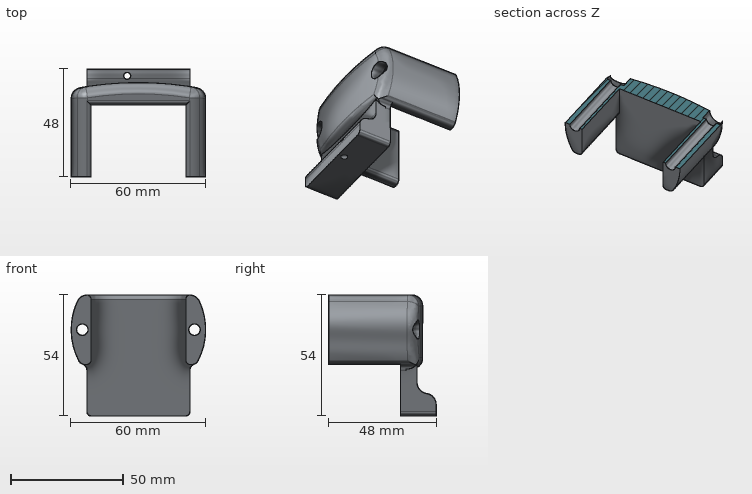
import cadquery as cq
import math


side_radius = 30.0
arm_top = 15.5
arm_bottom = -15.5
top_corner_radius = 5.0
bottom_corner_radius = 3.0
gap_width = 42.2
gap_depth = 32.0
gap_edge_radius = 2.0

back_y = 42.0
back_crown_radius = 151.5
back_edge_radius = 5.0
slab_bottom = -17.5

tab_width = 46.0
tab_thickness = 7.5
tab_bottom = -38.5
tab_corner_radius = 2.0
web_radius = 3.0
foot_back_y = 48.0
step_radius = 5.0
step_middle_z = -28.45

arm_hole_spacing = 50.0
arm_hole_diameter = 5.0
counterbore_diameter = 8.5
counterbore_floor_y = 35.0
tab_hole_diameter = 3.0
tab_hole_x = -5.0
tab_hole_y = 45.0

tab_half = tab_width / 2
tab_back_y = gap_depth + tab_thickness


def block(x_size, y_min, y_max, z_min, z_max):
    """Box centred on X = 0 between the given Y and Z limits."""
    size_y = y_max - y_min
    size_z = z_max - z_min
    return cq.Workplane("XY").box(x_size, size_y, size_z).translate(
        (0, (y_min + y_max) / 2, (z_min + z_max) / 2)
    )


def barrel(z_bottom):
    """Cylinder along Y, cut flat above and below, with rounded top corners."""
    cylinder = cq.Workplane("XZ").circle(side_radius).extrude(-back_y)
    flats = block(2 * side_radius, 0, back_y, z_bottom, arm_top)
    return cylinder.intersect(flats).edges("|Y and >Z").fillet(top_corner_radius)


def rounded_back_body():
    """Barrel with a crowned back whose rim is rounded."""
    crown = (
        cq.Workplane("XY", origin=(0, back_y - back_crown_radius, slab_bottom))
        .circle(back_crown_radius)
        .extrude(arm_top - slab_bottom)
    )
    body = barrel(slab_bottom).intersect(crown)
    return body.faces(">Y").edges().fillet(back_edge_radius)


def tab_webs(y_back):
    """Tab-wide block below the barrel, flared by concave arcs into its bottom corners."""
    corner_z = arm_bottom + bottom_corner_radius
    corner_x = math.sqrt((side_radius - bottom_corner_radius) ** 2 - corner_z**2)
    web_x = tab_half + web_radius
    centre_distance = bottom_corner_radius + web_radius
    web_z = corner_z - math.sqrt(centre_distance**2 - (web_x - corner_x) ** 2)

    share = web_radius / centre_distance
    touch_x = web_x + share * (corner_x - web_x)
    touch_z = web_z + share * (corner_z - web_z)
    touch_angle = math.atan2(touch_z - web_z, touch_x - web_x)
    middle_angle = (touch_angle + math.pi) / 2
    middle_x = web_x + web_radius * math.cos(middle_angle)
    middle_z = web_z + web_radius * math.sin(middle_angle)

    return (
        cq.Workplane("XZ", origin=(0, gap_depth, 0))
        .moveTo(-touch_x, touch_z)
        .threePointArc((-middle_x, middle_z), (-tab_half, web_z))
        .lineTo(tab_half, web_z)
        .threePointArc((middle_x, middle_z), (touch_x, touch_z))
        .lineTo(corner_x, corner_z)
        .lineTo(-corner_x, corner_z)
        .close()
        .extrude(gap_depth - y_back)
    )


def bracket_body():
    """Rounded body trimmed to the arm outline and the webs above the tab."""
    outline = barrel(arm_bottom).edges("|Y and <Z").fillet(bottom_corner_radius)
    body = rounded_back_body().intersect(outline.union(tab_webs(back_y)))
    return body.union(tab_webs(tab_back_y - back_edge_radius))


def tab():
    """Plate whose back steps out to a thicker foot through two tangent arcs."""
    step_middle_y = (tab_back_y + foot_back_y) / 2
    sweep = math.acos(1 - (step_middle_y - tab_back_y) / step_radius)
    rise = step_radius * math.sin(sweep)
    half_run = step_radius * (1 - math.cos(sweep / 2))
    half_rise = step_radius * math.sin(sweep / 2)
    neck_z = step_middle_z + rise
    foot_z = step_middle_z - rise
    plate = (
        cq.Workplane("YZ", origin=(-tab_half, 0, 0))
        .moveTo(gap_depth, arm_bottom + bottom_corner_radius)
        .lineTo(tab_back_y, arm_bottom + bottom_corner_radius)
        .lineTo(tab_back_y, neck_z)
        .threePointArc((tab_back_y + half_run, neck_z - half_rise), (step_middle_y, step_middle_z))
        .threePointArc((foot_back_y - half_run, foot_z + half_rise), (foot_back_y, foot_z))
        .lineTo(foot_back_y, tab_bottom)
        .lineTo(gap_depth, tab_bottom)
        .close()
        .extrude(tab_width)
    )
    return plate.edges("|Y and <Z").fillet(tab_corner_radius)


def gap_frame():
    """Block around the body with the gap opened and its upper and lower edges rounded."""
    frame = block(2 * side_radius, 0, back_y, arm_bottom, arm_top)
    frame = frame.cut(block(gap_width, 0, gap_depth, arm_bottom, arm_top))
    inner_walls = cq.selectors.BoxSelector(
        (-gap_width / 2 - gap_edge_radius, 0, 2 * arm_bottom),
        (gap_width / 2 + gap_edge_radius, gap_depth + gap_edge_radius, 2 * arm_top),
    )
    frame = frame.edges(">Z").edges(inner_walls).fillet(gap_edge_radius)
    frame = frame.edges("<Z").edges("|Y").edges(inner_walls).fillet(gap_edge_radius)
    below = block(2 * side_radius, gap_depth, back_y, tab_bottom, arm_bottom)
    return frame.union(below)


def cylinder_along_y(x, diameter, y_start, y_end):
    """Cylinder on the arm hole axis at the given X."""
    return cq.Workplane("XZ", origin=(x, y_start, 0)).circle(diameter / 2).extrude(y_start - y_end)


def drill_holes(body):
    """Counterbored holes along the arms and a small hole down through the foot."""
    for side in (-1, 1):
        x = side * arm_hole_spacing / 2
        body = body.cut(cylinder_along_y(x, arm_hole_diameter, 0, back_y))
        body = body.cut(cylinder_along_y(x, counterbore_diameter, counterbore_floor_y, back_y))
    tab_hole = (
        cq.Workplane("XY", origin=(tab_hole_x, tab_hole_y, tab_bottom))
        .circle(tab_hole_diameter / 2)
        .extrude(arm_bottom - tab_bottom)
    )
    return body.cut(tab_hole)


result = drill_holes(bracket_body().intersect(gap_frame()).union(tab()))